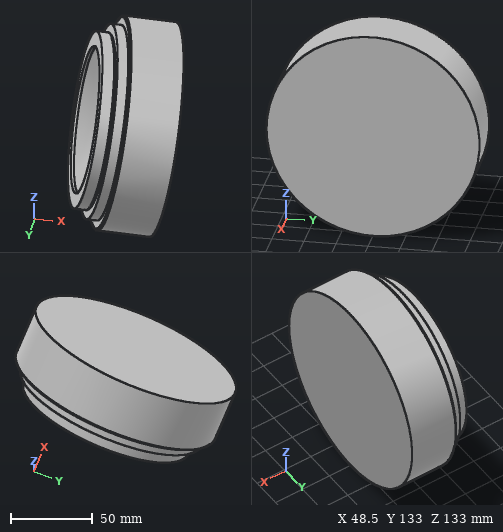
import cadquery as cq
import math

total_length = 48.5
body_radius = 66.5
body_chamfer = 1.0

collar_radius = 60.5
collar_length = 6.5

front_ring_radius = 55.0
front_ring_length = 7.5

groove_depth = 1.0
groove_width = 1.0
groove_radius = front_ring_radius - groove_depth

dish_radius = 45.5
lip_depth = 2.0
sphere_radius = 100.0

collar_start = front_ring_length + groove_width
body_start = collar_start + collar_length


def turned_blank():
    """Solid stepped disc: front ring, groove, collar and chamfered body."""
    profile = (
        cq.Workplane("XY")
        .moveTo(0, 0)
        .lineTo(0, -front_ring_radius)
        .lineTo(front_ring_length, -front_ring_radius)
        .lineTo(front_ring_length, -groove_radius)
        .lineTo(collar_start, -groove_radius)
        .lineTo(collar_start, -collar_radius)
        .lineTo(body_start, -collar_radius)
        .lineTo(body_start, -(body_radius - body_chamfer))
        .lineTo(body_start + body_chamfer, -body_radius)
        .lineTo(total_length, -body_radius)
        .lineTo(total_length, 0)
        .close()
    )
    return profile.revolve(360, (0, 0, 0), (1, 0, 0))


def dish_cutter():
    """Cylindrical lip closed at its inner end by a spherical cap."""
    sphere_centre = lip_depth - math.sqrt(sphere_radius**2 - dish_radius**2)
    dish_bottom = sphere_centre + sphere_radius
    half_angle = math.asin(dish_radius / sphere_radius) / 2
    arc_middle = (
        sphere_centre + sphere_radius * math.cos(half_angle),
        -sphere_radius * math.sin(half_angle),
    )
    profile = (
        cq.Workplane("XY")
        .moveTo(0, 0)
        .lineTo(0, -dish_radius)
        .lineTo(lip_depth, -dish_radius)
        .threePointArc(arc_middle, (dish_bottom, 0))
        .close()
    )
    return profile.revolve(360, (0, 0, 0), (1, 0, 0))


result = turned_blank().cut(dish_cutter())